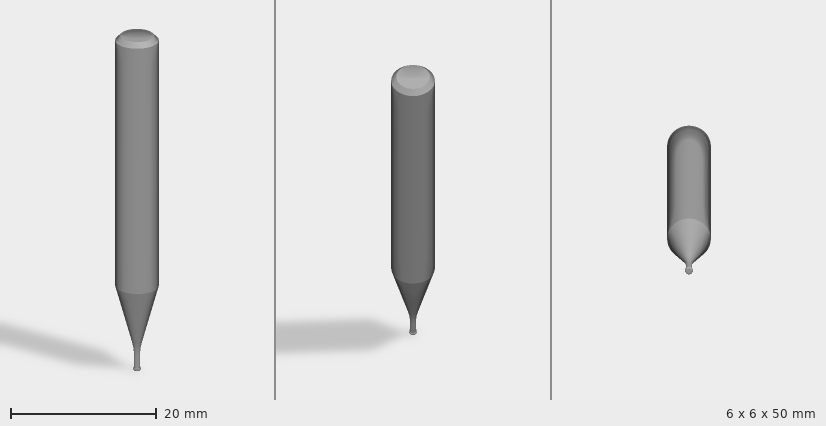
import cadquery as cq
import math

total_length = 50.0
shank_radius = 3.0
shank_chamfer = 0.7

neck_radius = 0.425
neck_top = 2.35
cone_bottom = 4.15
cone_top = 12.65

head_radius = 0.55
head_height = 0.4
head_fillet = 0.225

arc_height = cone_bottom - neck_top
cone_height = cone_top - cone_bottom


def cone_half_angle():
    """Angle at which the arc and the cone meet the shank radius, found by bisection."""
    low = 0.0
    high = math.pi / 4
    for _ in range(60):
        angle = (low + high) / 2
        reach = neck_radius + arc_height * math.tan(angle / 2) + cone_height * math.tan(angle)
        if reach < shank_radius:
            low = angle
        else:
            high = angle
    return angle


def make_holder():
    """Shank, cone, concave transition and neck as one turned body."""
    angle = cone_half_angle()
    arc_radius = arc_height / math.sin(angle)
    arc_center = neck_radius + arc_radius
    arc_middle = (
        arc_center - arc_radius * math.cos(angle / 2),
        neck_top + arc_radius * math.sin(angle / 2),
    )
    cone_bottom_radius = arc_center - arc_radius * math.cos(angle)
    return (
        cq.Workplane("XZ")
        .moveTo(0, head_height)
        .lineTo(neck_radius, head_height)
        .lineTo(neck_radius, neck_top)
        .threePointArc(arc_middle, (cone_bottom_radius, cone_bottom))
        .lineTo(shank_radius, cone_top)
        .lineTo(shank_radius, total_length - shank_chamfer)
        .lineTo(shank_radius - shank_chamfer, total_length)
        .lineTo(0, total_length)
        .close()
        .revolve(360, (0, 0, 0), (0, 1, 0))
    )


def make_cutting_head():
    """Disc wider than the neck, rounded around its lower rim."""
    return cq.Workplane("XY").circle(head_radius).extrude(head_height).edges("<Z").fillet(head_fillet)


holder = make_holder()
cutting_head = make_cutting_head()

result = cq.Compound.makeCompound([holder.val(), cutting_head.val()])